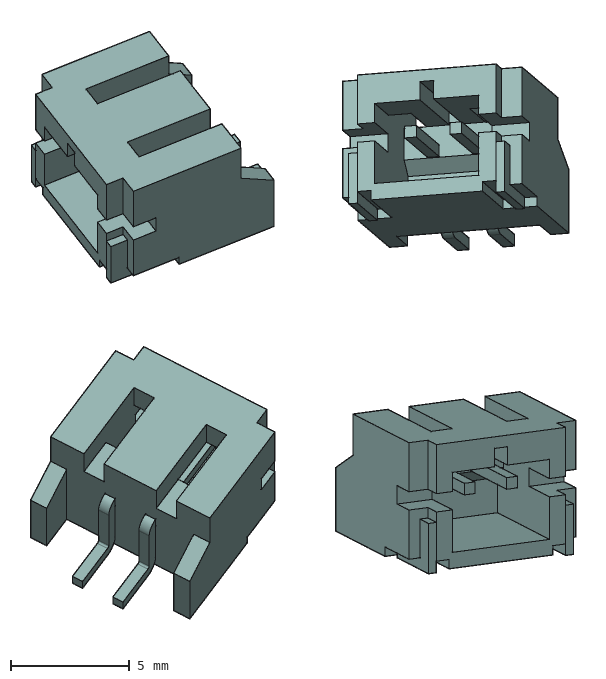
import cadquery as cq
import math


total_length = 8.6
width = 7.9
height = 5.5
body_length = 6.0
ear_end = 7.6
ear_width = 0.8
ear_shoulder_drop = 1.81
ear_slope_angle = 30.0

corner_width = 0.895
corner_depth = 0.8

cavity_width = 4.58
cavity_floor = 0.705
cavity_ceiling = height - 1.31
cavity_depth = 4.25
rear_slope_top = height - 2.68
rear_slope_bottom = height - 3.26
key_width = 0.6
key_top = height - 0.51

slot_width = 1.0
slot_start = 2.0
side_notch_top = height - 2.14
side_notch_height = 0.8
side_notch_depth = 1.89

pin_size = 0.51
pin_pitch = 2.0
pin_tip = 0.95
foot_drop = 0.095
bend_inner_radius = 0.095
bend_outer_radius = bend_inner_radius + pin_size

bracket_thickness = 0.38
bracket_height = 2.2
bracket_length = 2.9
bracket_foot_height = 0.51
recess_length = 3.01
recess_width = 1.5


def box(x_range, y_range, z_range):
    """Box between the given limits along each axis."""
    size = [high - low for low, high in (x_range, y_range, z_range)]
    corner = (x_range[0], y_range[0], z_range[0])
    return cq.Workplane("XY").box(*size, centered=False).translate(corner)


def on_both_sides(shape):
    """The shape and its mirror image across X = 0."""
    return [shape, shape.mirror("YZ")]


def extrude_profile(profile, x_min, x_max):
    """Closed Y-Z wire profile, extruded from x_min to x_max."""
    return profile.close().extrude(x_max - x_min).translate((x_min, 0, 0))


def make_ear():
    """Side wall that continues behind the body, with a sloping top."""
    shoulder = height - ear_shoulder_drop
    end_drop = (ear_end - body_length) * math.tan(math.radians(ear_slope_angle))
    end_height = shoulder - end_drop
    profile = cq.Workplane("YZ").polyline(
        [(body_length, 0), (ear_end, 0), (ear_end, end_height), (body_length, shoulder)]
    )
    return extrude_profile(profile, width / 2 - ear_width, width / 2)


def make_cavity():
    """Plug cavity, deeper below its 45 degree undercut, with a key groove above."""
    lower_depth = cavity_depth + (rear_slope_top - rear_slope_bottom)
    profile = cq.Workplane("YZ").polyline(
        [
            (0, cavity_floor),
            (lower_depth, cavity_floor),
            (lower_depth, rear_slope_bottom),
            (cavity_depth, rear_slope_top),
            (cavity_depth, cavity_ceiling),
            (0, cavity_ceiling),
        ]
    )
    cavity = extrude_profile(profile, -cavity_width / 2, cavity_width / 2)
    key_groove = box((-key_width / 2, key_width / 2), (0, cavity_depth), (cavity_ceiling, key_top))
    return cavity.union(key_groove)


def make_pin(x_center):
    """Square pin: contact through the rear wall, leg down its back, and solder tail."""
    contact_top = side_notch_top
    contact_bottom = contact_top - pin_size
    tail_bottom = -foot_drop
    tail_top = tail_bottom + pin_size
    leg_front = body_length
    leg_back = leg_front + pin_size
    upper_center = (leg_front - bend_inner_radius, contact_bottom - bend_inner_radius)
    lower_center = (leg_back + bend_inner_radius, tail_top + bend_inner_radius)
    diagonal = math.sqrt(0.5)

    def upper_middle(radius):
        return (upper_center[0] + radius * diagonal, upper_center[1] + radius * diagonal)

    def lower_middle(radius):
        return (lower_center[0] - radius * diagonal, lower_center[1] - radius * diagonal)

    profile = (
        cq.Workplane("YZ")
        .moveTo(pin_tip, contact_top)
        .lineTo(upper_center[0], contact_top)
        .threePointArc(upper_middle(bend_outer_radius), (leg_back, upper_center[1]))
        .lineTo(leg_back, lower_center[1])
        .threePointArc(lower_middle(bend_inner_radius), (lower_center[0], tail_top))
        .lineTo(total_length, tail_top)
        .lineTo(total_length, tail_bottom)
        .lineTo(lower_center[0], tail_bottom)
        .threePointArc(lower_middle(bend_outer_radius), (leg_front, lower_center[1]))
        .lineTo(leg_front, upper_center[1])
        .threePointArc(upper_middle(bend_inner_radius), (upper_center[0], contact_bottom))
        .lineTo(pin_tip, contact_bottom)
    )
    return extrude_profile(profile, x_center - pin_size / 2, x_center + pin_size / 2)


def make_bracket():
    """L-shaped bracket in the front corner step, with its foot under the housing."""
    x_max = width / 2 - corner_width + bracket_thickness
    x_range = (x_max - bracket_thickness, x_max)
    leg = box(x_range, (0, corner_depth), (-foot_drop, bracket_height - foot_drop))
    foot = box(x_range, (0, bracket_length), (-foot_drop, bracket_foot_height - foot_drop))
    return leg.union(foot)


def make_housing(pin_bodies):
    """Housing with all its openings, including a matching hole for each pin."""
    side = width / 2
    housing = box((-side, side), (0, body_length), (0, height))
    for ear in on_both_sides(make_ear()):
        housing = housing.union(ear)

    corner_step = box((side - corner_width, side), (0, corner_depth), (0, height))
    recess_top = bracket_foot_height - foot_drop
    foot_recess = box((side - recess_width, side), (0, recess_length), (0, recess_top))
    slot = box(
        (cavity_width / 2 - slot_width, cavity_width / 2),
        (slot_start, body_length),
        (cavity_ceiling, height),
    )
    for cutter in (corner_step, foot_recess, slot):
        for cut in on_both_sides(cutter):
            housing = housing.cut(cut)

    side_notch = box(
        (-side, side), (0, side_notch_depth), (side_notch_top - side_notch_height, side_notch_top)
    )
    housing = housing.cut(side_notch).cut(make_cavity())
    for pin in pin_bodies:
        housing = housing.cut(pin)
    return housing


pins = [make_pin(side * pin_pitch / 2) for side in (-1, 1)]
brackets = on_both_sides(make_bracket())
housing = make_housing(pins)

bodies = [housing, *pins, *brackets]
result = cq.Compound.makeCompound([body.val() for body in bodies])